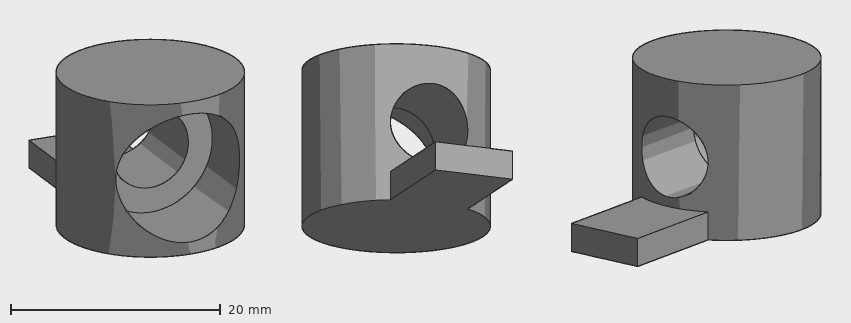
import cadquery as cq

body_diameter = 18.0
body_height = 15.5

tab_reach = 10.0
tab_width = 8.0
tab_thickness = 2.8

bore_diameter = 8.0
counterbore_diameter = 13.0
counterbore_floor_x = 0.0

body_radius = body_diameter / 2
bore_height = body_height / 2


def make_body():
    return cq.Workplane("XY").circle(body_radius).extrude(body_height)


def make_tab():
    tab_length = body_radius + tab_reach
    return (
        cq.Workplane("XY")
        .box(tab_length, tab_width, tab_thickness, centered=(False, True, False))
        .translate((-tab_length, 0, 0))
    )


def make_cross_cylinder(diameter, start_x, end_x):
    """Cylinder along X at bore height, from start_x to end_x."""
    return (
        cq.Workplane("YZ", origin=(start_x, 0, bore_height))
        .circle(diameter / 2)
        .extrude(end_x - start_x)
    )


bore = make_cross_cylinder(bore_diameter, -body_radius, body_radius)
counterbore = make_cross_cylinder(counterbore_diameter, counterbore_floor_x, body_radius)

result = make_body().union(make_tab()).cut(bore).cut(counterbore)